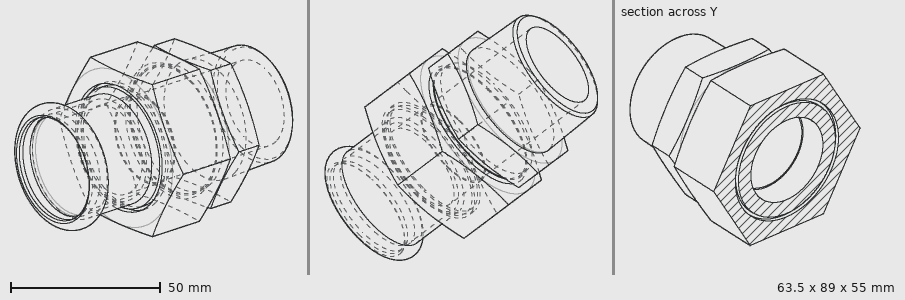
import cadquery as cq
import math

TOTAL_LENGTH = 89.0

BEAD_DIAMETER = 44.0
BEAD_LENGTH = 7.4
BEAD_FACE_DIAMETER = 37.4
TUBE_DIAMETER = 38.4
MOUTH_DIAMETER = 35.8
MOUTH_LEAD_IN = 0.55
MOUTH_CONE_START = 6.3
SOCKET_DIAMETER = 35.4
SOCKET_START = 7.5
SOCKET_DEPTH = 26.0

SEAL_DIAMETER = 34.4
SEAL_WIDTH = 3.2

NUT_START = 29.0
NUT_LENGTH = 23.0
NUT_ACROSS_FLATS = 55.0
NUT_MOUTH_DIAMETER = 44.5
NUT_MOUTH_DEPTH = 2.5
COLLAR_DIAMETER = 42.2
COLLAR_CONE_START = 27.0

LIP_DIAMETER = 45.0
LIP_LENGTH = 1.0
LIP_SLOPE = math.radians(45)
NECK_DIAMETER = 44.0
HEX_START = 56.0
HEX_LENGTH = 11.0
HEX_ACROSS_FLATS = 50.0
HEX_CHAMFER_ANGLE = math.radians(15)
THREAD_LENGTH = 21.4
THREAD_DIAMETER = 42.0
THREAD_TAPER = 1 / 16
THREAD_CHAMFER = 1.0

TAIL_BORE_DIAMETER = 31.0
BODY_BORE_DIAMETER = 30.0
BORE_STEP = NUT_START + NUT_LENGTH / 2

NUT_END = NUT_START + NUT_LENGTH
HEX_END = HEX_START + HEX_LENGTH


def revolve_about_y(profile):
    """Close a profile drawn in the XY plane and turn it about the Y axis."""
    return profile.close().revolve(360, (0, 0, 0), (0, 1, 0))


def cylinder(diameter, start, end):
    radius = diameter / 2
    outline = cq.Workplane("XY").moveTo(0, start).lineTo(radius, start)
    return revolve_about_y(outline.lineTo(radius, end).lineTo(0, end))


def chamfered_hexagon(across_flats, start, length):
    """Hexagonal prism with corners on the X axis and both ends coned off at the corners."""
    across_corners = across_flats / math.cos(math.pi / 6)
    end = start + length
    prism = cq.Workplane("XZ", origin=(0, end, 0)).polygon(6, across_corners).extrude(length)
    face_radius = across_flats / 2
    limit_radius = across_corners
    drop = (limit_radius - face_radius) * math.tan(HEX_CHAMFER_ANGLE)
    limit = (
        cq.Workplane("XY")
        .moveTo(0, start)
        .lineTo(face_radius, start)
        .lineTo(limit_radius, start + drop)
        .lineTo(limit_radius, end - drop)
        .lineTo(face_radius, end)
        .lineTo(0, end)
    )
    return prism.intersect(revolve_about_y(limit))


def press_tail():
    """Socket tube with its rounded bead and the cone up to the collar."""
    tube_radius = TUBE_DIAMETER / 2
    bead_radius = BEAD_DIAMETER / 2
    collar_radius = COLLAR_DIAMETER / 2
    collar_start = COLLAR_CONE_START + collar_radius - tube_radius
    outline = (
        cq.Workplane("XY")
        .moveTo(0, 0)
        .lineTo(BEAD_FACE_DIAMETER / 2, 0)
        .threePointArc((bead_radius, BEAD_LENGTH / 2), (tube_radius, BEAD_LENGTH))
        .lineTo(tube_radius, COLLAR_CONE_START)
        .lineTo(collar_radius, collar_start)
        .lineTo(collar_radius, NUT_END)
        .lineTo(0, NUT_END)
    )
    return revolve_about_y(outline)


def coupling_nut():
    nut = chamfered_hexagon(NUT_ACROSS_FLATS, NUT_START, NUT_LENGTH)
    return nut.cut(cylinder(NUT_MOUTH_DIAMETER, NUT_START, NUT_START + NUT_MOUTH_DEPTH))


def lip():
    """Conical lip between the nut and the body neck."""
    radius = LIP_DIAMETER / 2
    base_radius = radius + LIP_LENGTH * math.tan(LIP_SLOPE)
    outline = (
        cq.Workplane("XY")
        .moveTo(0, NUT_END)
        .lineTo(base_radius, NUT_END)
        .lineTo(radius, NUT_END + LIP_LENGTH)
        .lineTo(0, NUT_END + LIP_LENGTH)
    )
    return revolve_about_y(outline)


def tapered_thread():
    """Plain envelope of the external pipe thread, with a chamfered end."""
    base_radius = THREAD_DIAMETER / 2
    thread_start = TOTAL_LENGTH - THREAD_LENGTH
    chamfer_start = TOTAL_LENGTH - THREAD_CHAMFER
    small_radius = base_radius - (chamfer_start - thread_start) * THREAD_TAPER / 2
    outline = (
        cq.Workplane("XY")
        .moveTo(0, HEX_END)
        .lineTo(base_radius, HEX_END)
        .lineTo(base_radius, thread_start)
        .lineTo(small_radius, chamfer_start)
        .lineTo(small_radius - THREAD_CHAMFER, TOTAL_LENGTH)
        .lineTo(0, TOTAL_LENGTH)
    )
    return revolve_about_y(outline)


def threaded_body():
    neck = cylinder(NECK_DIAMETER, NUT_END, HEX_START)
    hexagon = chamfered_hexagon(HEX_ACROSS_FLATS, HEX_START, HEX_LENGTH)
    return neck.union(lip()).union(hexagon).union(tapered_thread())


def passage():
    """Inside of the part: mouth, seal ring, socket and stepped bore."""
    mouth_radius = MOUTH_DIAMETER / 2
    socket_radius = SOCKET_DIAMETER / 2
    tail_radius = TAIL_BORE_DIAMETER / 2
    body_radius = BODY_BORE_DIAMETER / 2
    seal_middle = BEAD_LENGTH / 2
    seal_start = seal_middle - SEAL_WIDTH / 2
    seal_end = seal_middle + SEAL_WIDTH / 2
    outline = (
        cq.Workplane("XY")
        .moveTo(0, 0)
        .lineTo(BEAD_FACE_DIAMETER / 2, 0)
        .lineTo(mouth_radius, MOUTH_LEAD_IN)
        .lineTo(mouth_radius, seal_start)
        .threePointArc((SEAL_DIAMETER / 2, seal_middle), (mouth_radius, seal_end))
        .lineTo(mouth_radius, MOUTH_CONE_START)
        .lineTo(socket_radius, SOCKET_START)
        .lineTo(socket_radius, SOCKET_DEPTH)
        .lineTo(tail_radius, SOCKET_DEPTH)
        .lineTo(tail_radius, BORE_STEP)
        .lineTo(body_radius, BORE_STEP)
        .lineTo(body_radius, TOTAL_LENGTH)
        .lineTo(0, TOTAL_LENGTH)
    )
    return revolve_about_y(outline)


result = coupling_nut().union(press_tail()).union(threaded_body()).cut(passage())